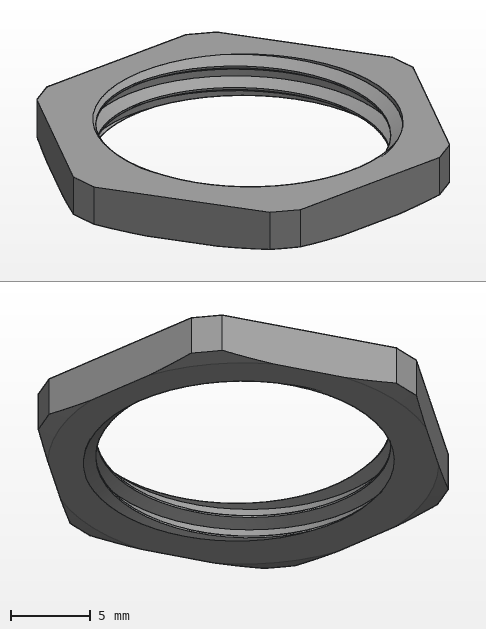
import cadquery as cq
import math

thickness = 2.87
across_flats = 24.0
across_corner_cuts = 26.6

chamfer_start_radius = 12.23
chamfer_angle = 15.0

minor_radius = 9.23
major_radius = 10.0
pitch = 1.5
crest_width = 0.13
flank_angle = 30.0
top_root_angle = 90.0
cutter_overlap = 0.05


def hexagon(flat_distance, first_corner_angle):
    """Hexagonal prism with the given distance across its flats."""
    corner_radius = flat_distance / 2 / math.cos(math.pi / 6)
    corners = []
    for i in range(6):
        angle = math.radians(first_corner_angle + 60 * i)
        corners.append((corner_radius * math.cos(angle), corner_radius * math.sin(angle)))
    return cq.Workplane("XY").polyline(corners).close().extrude(thickness)


def chamfer_envelope():
    """Revolved solid that bevels the corners on the underside."""
    outer_radius = across_corner_cuts
    rise = (outer_radius - chamfer_start_radius) * math.tan(math.radians(chamfer_angle))
    top = thickness + rise
    return (
        cq.Workplane("XZ")
        .polyline([(0, 0), (chamfer_start_radius, 0), (outer_radius, rise), (outer_radius, top), (0, top)])
        .close()
        .revolve(360, (0, 0), (0, 1))
    )


def thread_groove():
    """Helical trapezoidal cutter running past both faces of the nut."""
    flank_slope = math.tan(math.radians(flank_angle))
    inner_radius = minor_radius - cutter_overlap
    half_mouth = (pitch - crest_width) / 2 + cutter_overlap * flank_slope
    half_root = half_mouth - (major_radius - inner_radius) * flank_slope

    turns_below_top = math.ceil(thickness / pitch) + 1
    turns_above_top = 1
    length = (turns_below_top + turns_above_top) * pitch
    start_z = thickness - turns_below_top * pitch

    path = cq.Wire.makeHelix(pitch, length, inner_radius)
    return (
        cq.Workplane("XZ")
        .polyline([
            (inner_radius, -half_mouth),
            (major_radius, -half_root),
            (major_radius, half_root),
            (inner_radius, half_mouth),
        ])
        .close()
        .sweep(cq.Workplane(obj=path), isFrenet=True)
        .rotate((0, 0, 0), (0, 0, 1), top_root_angle)
        .translate((0, 0, start_z))
    )


body = hexagon(across_flats, 30).intersect(hexagon(across_corner_cuts, 0))
body = body.intersect(chamfer_envelope())
bore = cq.Workplane("XY").circle(minor_radius).extrude(thickness)
result = body.cut(bore).cut(thread_groove())